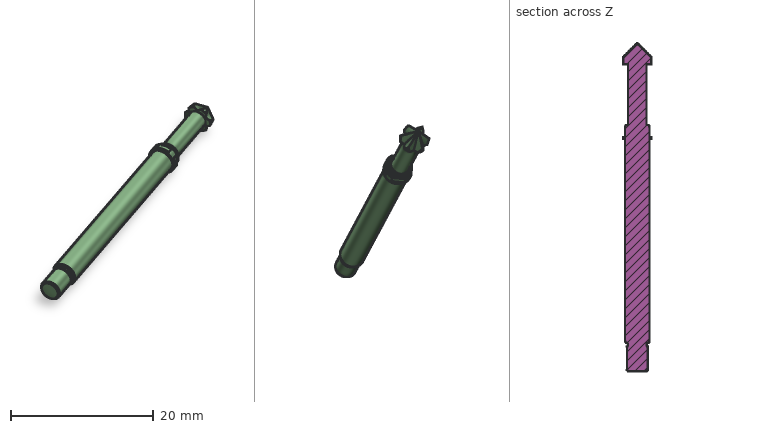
import cadquery as cq
import math

total_length = 46.1
head_length = 3.0
sleeve_start = 11.5
shoulder_start = 12.2
collar_start = 13.2
collar_width = 0.3
sleeve_end = 42.1
tail_start = 42.6

head_radius = 2.0
stem_radius = 1.325
sleeve_radius = 1.75
collar_radius = 2.0
tail_radius = 1.5

sleeve_chamfer_length = 0.2
sleeve_chamfer_depth = 0.14
tail_chamfer = 0.2

groove_depth = 0.18

point_count = 6
ridge_slope = 1.0
valley_slope = 0.52

flat_offset = sleeve_radius

tip_y = total_length / 2


def turned(start, end, radius):
    """Cylinder on the Y axis between two distances from the tip."""
    plane = cq.Plane(origin=(0, tip_y - start, 0), xDir=(1, 0, 0), normal=(0, -1, 0))
    return cq.Workplane(plane).circle(radius).extrude(end - start)


def flat_face(*corners):
    return cq.Face.makeFromWires(cq.Wire.makePolygon(corners, close=True))


def make_head():
    """Six-pointed star pyramid trimmed to a round head."""
    tip = cq.Vector(0, tip_y, 0)
    corner_count = 2 * point_count
    corners = []
    for index in range(corner_count):
        slope = ridge_slope if index % 2 == 0 else valley_slope
        radius = slope * head_length
        angle = 2 * math.pi * index / corner_count
        corners.append(cq.Vector(radius * math.cos(angle), tip_y - head_length, radius * math.sin(angle)))

    faces = [flat_face(*corners)]
    for index in range(corner_count):
        faces.append(flat_face(corners[index - 1], corners[index], tip))
    star = cq.Workplane(cq.Solid.makeSolid(cq.Shell.makeShell(faces)))
    return turned(0, head_length, head_radius).intersect(star)


def make_stem():
    return turned(head_length, sleeve_start, stem_radius)


def make_sleeve():
    """Long barrel with a slim chamfer at both ends."""
    front_y = tip_y - sleeve_start
    back_y = tip_y - sleeve_end
    end_radius = sleeve_radius - sleeve_chamfer_depth
    profile = cq.Workplane("XY").polyline([
        (0, front_y),
        (end_radius, front_y),
        (sleeve_radius, front_y - sleeve_chamfer_length),
        (sleeve_radius, back_y + sleeve_chamfer_length),
        (end_radius, back_y),
        (0, back_y),
    ]).close()
    return profile.revolve(360, (0, 0, 0), (0, 1, 0))


def make_flatted_section():
    """Collar-sized shoulder with four flats."""
    length = collar_start - shoulder_start
    square = cq.Workplane("XY").box(2 * flat_offset, length, 2 * flat_offset)
    square = square.translate((0, tip_y - shoulder_start - length / 2, 0))
    return turned(shoulder_start, collar_start, collar_radius).intersect(square)


def make_collar():
    return turned(collar_start, collar_start + collar_width, collar_radius)


def make_tail():
    """Tail with a chamfered end and a rounded groove next to the sleeve."""
    groove_start_y = tip_y - sleeve_end
    groove_end_y = tip_y - tail_start
    groove_middle = (tail_radius - groove_depth, (groove_start_y + groove_end_y) / 2)
    end_y = tip_y - total_length
    profile = (
        cq.Workplane("XY")
        .moveTo(0, groove_start_y)
        .lineTo(tail_radius, groove_start_y)
        .threePointArc(groove_middle, (tail_radius, groove_end_y))
        .lineTo(tail_radius, end_y + tail_chamfer)
        .lineTo(tail_radius - tail_chamfer, end_y)
        .lineTo(0, end_y)
        .close()
    )
    return profile.revolve(360, (0, 0, 0), (0, 1, 0))


result = make_head()
for section in (make_stem(), make_sleeve(), make_flatted_section(), make_collar(), make_tail()):
    result = result.union(section)